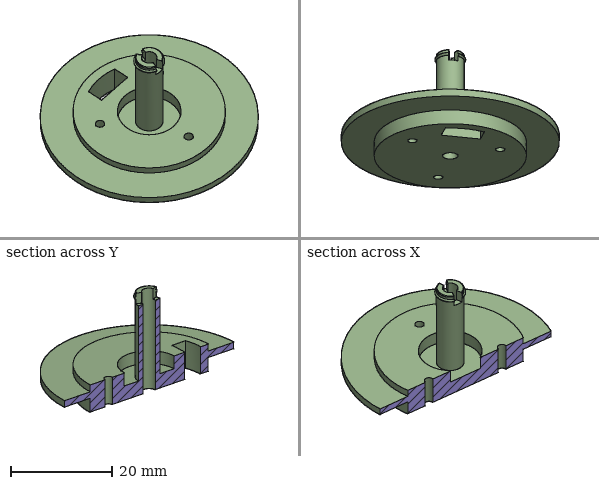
import cadquery as cq
import math

flange_diameter = 43.0
hub_diameter = 30.0
flange_bottom = 3.0
flange_top = 4.5
hub_top = 6.0

recess_diameter = 12.5
recess_depth = 2.8

post_top = 21.95
post_diameter = 5.5
bore_diameter = 3.0
tip_chamfer = 0.17
ring_height = 20.9
ring_radius = 0.3

slot_depth = 2.32
slot_half_angle = math.radians(20)
slot_reach = post_diameter

pin_hole_diameter = 1.8
pin_circle_radius = 10.28
pin_hole_count = 3
window_inner_x = -9.05
window_outer_radius = 13.05
window_width = 7.9


def cylinder(diameter, bottom, top):
    """Upright cylinder on the part axis."""
    return cq.Workplane("XY").workplane(offset=bottom).circle(diameter / 2).extrude(top - bottom)


def make_disc():
    hub = cylinder(hub_diameter, 0, hub_top)
    flange = cylinder(flange_diameter, flange_bottom, flange_top)
    recess = cylinder(recess_diameter, hub_top - recess_depth, hub_top)
    return hub.union(flange).cut(recess)


def make_post():
    post = cylinder(post_diameter, 0, post_top).faces(">Z").chamfer(tip_chamfer)
    ring = (
        cq.Workplane("XZ")
        .center(post_diameter / 2, ring_height)
        .circle(ring_radius)
        .revolve(360, (-post_diameter / 2, 0), (-post_diameter / 2, 1))
    )
    return post.union(ring)


def make_tip_slot(side):
    """Wedge with its apex on the axis, opening toward side * X."""
    edge_x = side * slot_reach
    edge_y = slot_reach * math.tan(slot_half_angle)
    return (
        cq.Workplane("XY")
        .workplane(offset=post_top - slot_depth)
        .polyline([(0, 0), (edge_x, -edge_y), (edge_x, edge_y)])
        .close()
        .extrude(slot_depth)
    )


def make_pin_holes():
    return (
        cq.Workplane("XY")
        .polarArray(pin_circle_radius, 0, 360, pin_hole_count)
        .circle(pin_hole_diameter / 2)
        .extrude(hub_top)
    )


def make_window():
    """Opening with a straight inner side and an outer side concentric with the hub."""
    half_width = window_width / 2
    corner_x = -math.sqrt(window_outer_radius**2 - half_width**2)
    return (
        cq.Workplane("XY")
        .moveTo(window_inner_x, -half_width)
        .lineTo(window_inner_x, half_width)
        .lineTo(corner_x, half_width)
        .threePointArc((-window_outer_radius, 0), (corner_x, -half_width))
        .close()
        .extrude(hub_top)
    )


result = make_disc().union(make_post())
result = result.cut(cylinder(bore_diameter, 0, post_top))
for side in (-1, 1):
    result = result.cut(make_tip_slot(side))
result = result.cut(make_pin_holes()).cut(make_window())